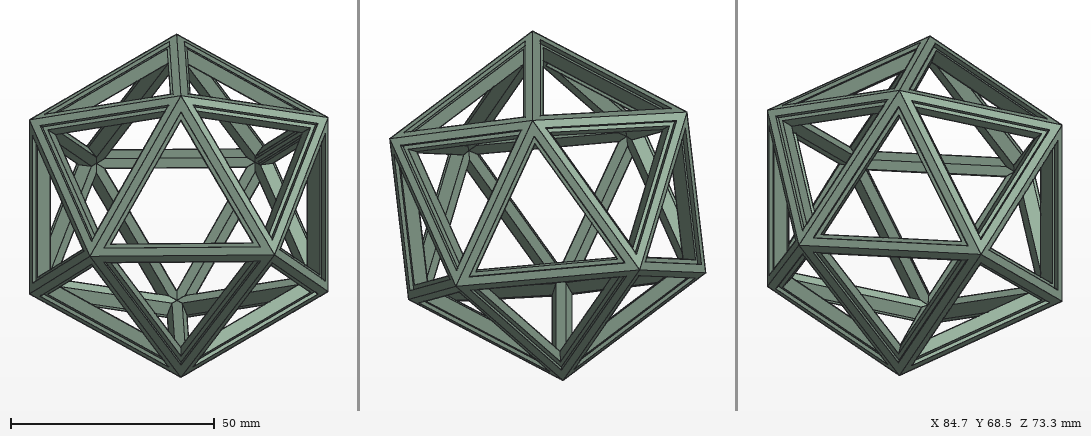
import cadquery as cq
import math

FACE_TO_FACE = 68.514
STRUT_DEPTH = 5.14
WINDOW_MARGIN = 3.0
REBATE_MARGIN = 2.0
REBATE_DEPTH = 1.0
RIB_LENGTH = 30.8
RIB_WIDTH = 0.55
RIB_HEIGHT = 0.9
RIB_GAP = 0.9
RIB_OFFSET = 0.2
RIB_EMBED = 1.0
CUT_OVERSHOOT = 1.0
LENGTH_TOLERANCE = 0.01

GOLDEN = (1 + math.sqrt(5)) / 2
FACE_DISTANCE = FACE_TO_FACE / 2
EDGE = FACE_DISTANCE * 12 / (math.sqrt(3) * (3 + math.sqrt(5)))
EDGE_DISTANCE = EDGE * GOLDEN / 2
VERTEX_DISTANCE = EDGE * math.hypot(1, GOLDEN) / 2
FACE_INRADIUS = EDGE / (2 * math.sqrt(3))
END_RADIUS = EDGE / math.sqrt(3)
WAIST_RADIUS = END_RADIUS * GOLDEN
WAIST_OFFSET = math.sqrt(VERTEX_DISTANCE**2 - WAIST_RADIUS**2)

CAVITY_DISTANCE = EDGE_DISTANCE - STRUT_DEPTH
CAVITY_TO_VERTEX = CAVITY_DISTANCE * VERTEX_DISTANCE / EDGE_DISTANCE
CAVITY_TO_FACE = CAVITY_DISTANCE * EDGE_DISTANCE / FACE_DISTANCE


def triangle_points(radius, y, start_angle):
    """Corners of an equilateral triangle in the plane at height y along Y."""
    angles = [math.radians(start_angle + turn) for turn in (0, 120, 240)]
    return [cq.Vector(radius * math.cos(a), y, radius * math.sin(a)) for a in angles]


def are_neighbours(a, b):
    """True when two icosahedron corners share an edge."""
    return abs((a - b).Length - EDGE) < EDGE * LENGTH_TOLERANCE


def icosahedron_vertices():
    """The twelve corners: a triangle at each Y end and two wider ones at the waist."""
    return (
        triangle_points(END_RADIUS, -FACE_DISTANCE, 0)
        + triangle_points(WAIST_RADIUS, -WAIST_OFFSET, 60)
        + triangle_points(WAIST_RADIUS, WAIST_OFFSET, 0)
        + triangle_points(END_RADIUS, FACE_DISTANCE, 60)
    )


def icosahedron_edges(vertices):
    return [
        (a, b)
        for i, a in enumerate(vertices)
        for b in vertices[i + 1:]
        if are_neighbours(a, b)
    ]


def icosahedron_faces(vertices):
    return [
        (a, b, c)
        for i, a in enumerate(vertices)
        for j, b in enumerate(vertices[i + 1:], i + 1)
        for c in vertices[j + 1:]
        if are_neighbours(a, b) and are_neighbours(b, c) and are_neighbours(a, c)
    ]


def centre_of(face):
    a, b, c = face
    return (a + b + c) / 3


def polyhedron(outlines):
    """Solid bounded by flat faces, each given by its corner points in order."""
    faces = [
        cq.Face.makeFromWires(cq.Wire.makePolygon(list(points), close=True))
        for points in outlines
    ]
    solid = cq.Solid.makeSolid(cq.Shell.makeShell(faces))
    return cq.Workplane(solid.fix())


def cavity_rhombus(edge, faces):
    """Corners of the cavity face that lies square under an icosahedron edge."""
    a, b = edge
    sides = [centre_of(face).normalized() for face in faces if a in face and b in face]
    return (
        a.normalized() * CAVITY_TO_VERTEX,
        sides[0] * CAVITY_TO_FACE,
        b.normalized() * CAVITY_TO_VERTEX,
        sides[1] * CAVITY_TO_FACE,
    )


def triangular_pocket(face, margin, depth):
    """Cutter sunk square to a face, its walls set in from the face edges by the margin."""
    centre = centre_of(face)
    outward = centre.normalized()
    plane = cq.Plane(centre + outward * CUT_OVERSHOOT, face[0] - centre, outward)
    corner_diameter = 4 * (FACE_INRADIUS - margin)
    return cq.Workplane(plane).polygon(3, corner_diameter).extrude(-(depth + CUT_OVERSHOOT))


def rib_pair(edge):
    """Two parallel ribs standing on the inner side of the strut under an edge."""
    a, b = edge
    outward = ((a + b) / 2).normalized()
    rib_root = cq.Plane(outward * (CAVITY_DISTANCE + RIB_EMBED), b - a, outward * -1)
    half_pitch = (RIB_GAP + RIB_WIDTH) / 2
    centres = [(0, RIB_OFFSET + side * half_pitch) for side in (-1, 1)]
    return (
        cq.Workplane(rib_root)
        .pushPoints(centres)
        .rect(RIB_LENGTH, RIB_WIDTH)
        .extrude(RIB_EMBED + RIB_HEIGHT)
    )


def frame(vertices):
    """Hollow icosahedron with a rebated triangular window in every face."""
    faces = icosahedron_faces(vertices)
    edges = icosahedron_edges(vertices)
    body = polyhedron(faces).cut(polyhedron([cavity_rhombus(e, faces) for e in edges]))
    for face in faces:
        body = body.cut(triangular_pocket(face, REBATE_MARGIN, REBATE_DEPTH))
        body = body.cut(triangular_pocket(face, WINDOW_MARGIN, STRUT_DEPTH))
    return body


corners = icosahedron_vertices()
back_upper, back_left = corners[-3:-1]
result = frame(corners).union(rib_pair((back_left, back_upper)))